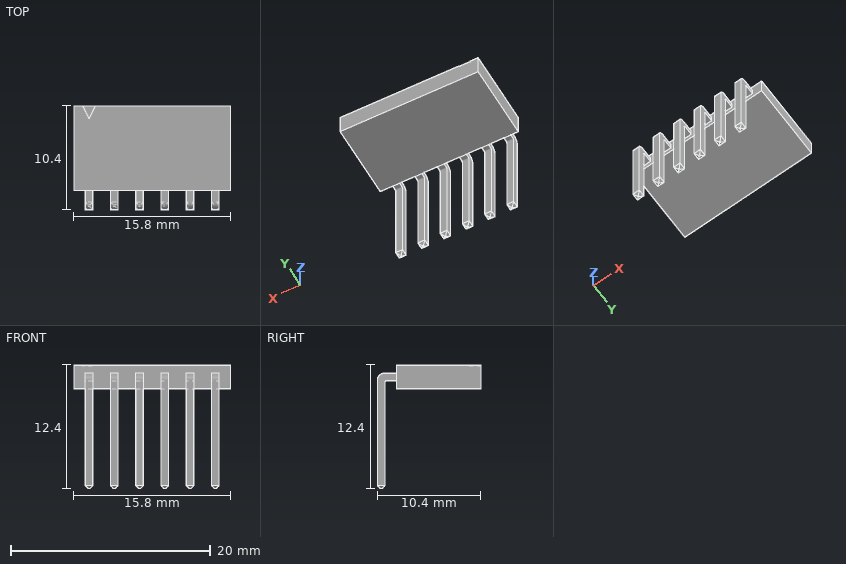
import cadquery as cq

housing_length = 15.75
housing_depth = 8.5
housing_height = 2.4

pin_count = 6
pin_pitch = 2.54
pin_width = 0.79
pin_reach = 1.92
pin_drop = 10.02
bend_outer_radius = 0.72
bend_inner_radius = 0.13
tip_taper = 0.32

marker_size = pin_pitch / 2
marker_depth = 0.071

first_pin_x = -pin_pitch * (pin_count - 1) / 2
pin_top_z = (housing_height + pin_width) / 2


def make_marker_cut():
    """Shallow triangular prism whose point faces the pins."""
    return (
        cq.Workplane("XY", origin=(first_pin_x, housing_depth, housing_height))
        .moveTo(-marker_size / 2, 0)
        .lineTo(marker_size / 2, 0)
        .lineTo(0, -marker_size)
        .close()
        .extrude(-marker_depth)
    )


def make_housing():
    """Block with the first-pin marker cut into its top."""
    block = cq.Workplane("XY").box(
        housing_length, housing_depth, housing_height, centered=(True, False, False)
    )
    return block.cut(make_marker_cut())


def make_pin(x):
    """Square pin that leaves the housing face, bends down and ends in a tapered tip."""
    outer_y = -pin_reach
    inner_y = outer_y + pin_width
    pin_underside_z = pin_top_z - pin_width
    pin = (
        cq.Workplane("YZ", origin=(x, 0, 0))
        .moveTo(0, pin_top_z)
        .lineTo(outer_y + bend_outer_radius, pin_top_z)
        .radiusArc((outer_y, pin_top_z - bend_outer_radius), -bend_outer_radius)
        .lineTo(outer_y, -pin_drop)
        .lineTo(inner_y, -pin_drop)
        .lineTo(inner_y, pin_underside_z - bend_inner_radius)
        .radiusArc((inner_y + bend_inner_radius, pin_underside_z), bend_inner_radius)
        .lineTo(0, pin_underside_z)
        .close()
        .extrude(pin_width / 2, both=True)
    )
    return pin.faces("<Z").edges().chamfer(tip_taper)


housing = make_housing()
pins = [make_pin(first_pin_x + index * pin_pitch) for index in range(pin_count)]

result = cq.Compound.makeCompound([housing.val(), *[pin.val() for pin in pins]])